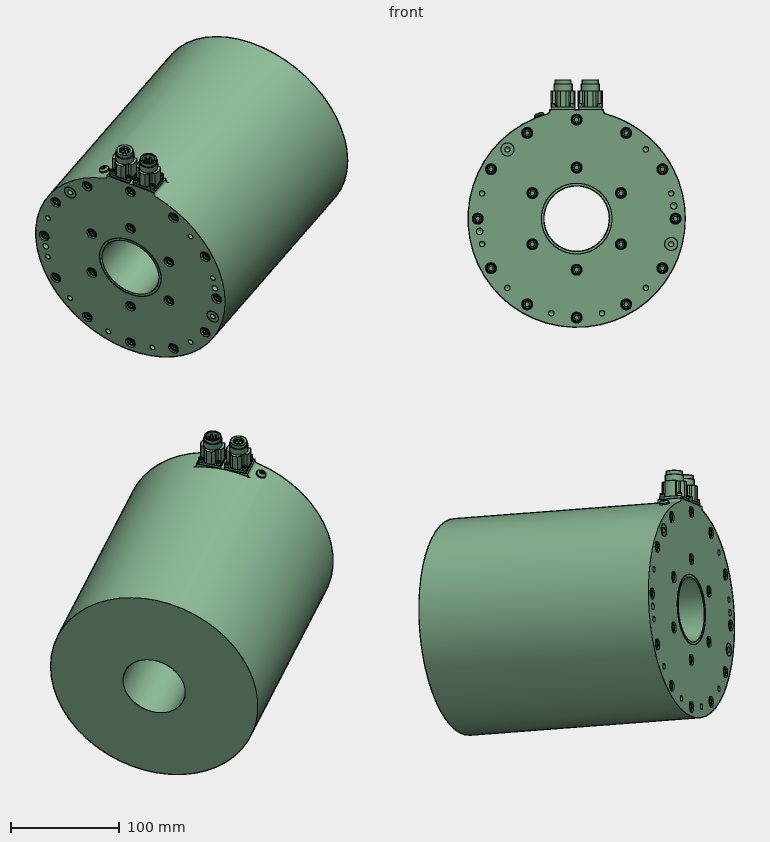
import cadquery as cq
import math

BODY_RADIUS = 100.0
BODY_LENGTH = 230.0
BORE_DIAMETER = 60.0
BORE_RIM_DIAMETER = 65.0
RIM_DEPTH = 0.3

SCREW_CIRCLE_OUTER = 91.0
SCREW_COUNT_OUTER = 12
SCREW_CIRCLE_INNER = 47.0
SCREW_COUNT_INNER = 6
COUNTERBORE_DIAMETER = 10.0
COUNTERBORE_DEPTH = 5.7
HEAD_DIAMETER = 8.5
HEAD_HEIGHT = 5.0
HEAD_EDGE_CHAMFER = 0.8
HEAD_SOCKET_FLATS = 4.0
HEAD_SOCKET_DEPTH = 2.5

HOLE_CIRCLE = 90.0
TAPPED_ANGLES = (15, 45, 135, 165, 195, 225, 255, 285, 315, 345)
TAPPED_DIAMETER = 5.0
TAPPED_DEPTH = 12.0
DOWEL_ANGLES = (7.5, 187.5)
DOWEL_DIAMETER = 6.0
DOWEL_DEPTH = 12.0
DRILL_POINT_ANGLE = 118.0
SPOT_FACE_ANGLES = (135, 345)
SPOT_FACE_DIAMETER = 12.0
SPOT_FACE_DEPTH = 0.3

PAD_WIDTH = 49.5
PAD_LENGTH = 23.0
PAD_TOP = 100.3
PAD_FILLET = 3.0
PAD_EMBED = 15.0

CONNECTOR_SPACING = 25.0
CONNECTOR_Y = 11.8
CONNECTOR_TOP = 127.5
SHELL_TOP = 117.5
COLLAR_TOP = 123.8
FLANGE_TOP = 102.7
FLANGE_WIDTH = 21.6
FLANGE_CORNER_RADIUS = 2.0
SHELL_DIAMETER = 22.4
CORE_DIAMETER = 17.5
COLLAR_DIAMETER = 17.0
MOUTH_DIAMETER = 15.0
LOBE_HALF_WIDTH = 5.35
LOBE_FLAT_HALF_WIDTH = 2.5
LOBE_SHOULDER = 8.5
FLANGE_SCREW_OFFSET = 8.6
FLANGE_SCREW_DIAMETER = 4.2
FLANGE_SCREW_HEIGHT = 3.2
FLANGE_SCREW_SOCKET = 2.0
FLANGE_SCREW_SOCKET_DEPTH = 1.2

SIGNAL_BORE = 10.0
SIGNAL_DEPTH = 2.0
SIGNAL_PIN_DIAMETER = 1.0
SIGNAL_PIN_CIRCLE = 3.2
SIGNAL_PIN_COUNT = 8
POWER_BORE = 12.0
POWER_DEPTH = 8.0
POWER_PIN_DIAMETER = 1.5
POWER_PIN_CIRCLE = 3.5
POWER_PIN_COUNT = 5
PIN_RECESS = 1.0

BUTTON_TILT = 20.0
BUTTON_Y = 12.4
BUTTON_DIAMETER = 9.2
BUTTON_HEIGHT = 3.0
BUTTON_RIM = 1.2
BUTTON_DOME_RADIUS = 3.8
BUTTON_DOME_HEIGHT = 2.3
BUTTON_CROWN_DIAMETER = 5.0
BUTTON_SOCKET_FLATS = 3.0
BUTTON_SOCKET_DEPTH = 1.6
BUTTON_SINK = 1.0


def hexagon_diameter(flats):
    """Corner-to-corner size of a hexagon given across its flats."""
    return flats / math.cos(math.radians(30))


def polar_points(radius, angles):
    """Points on a circle, angles in degrees from the first axis."""
    return [
        (radius * math.cos(math.radians(a)), radius * math.sin(math.radians(a)))
        for a in angles
    ]


def even_angles(count):
    """Equally spaced angles starting on the second axis."""
    return [90 + i * 360 / count for i in range(count)]


def front_plane(depth=0.0):
    """Workplane parallel to the front face, the given depth into the body."""
    return cq.Workplane("XZ", origin=(0, depth, 0))


def front_disc(points, diameter, depth, start=0.0):
    """Discs reaching from a start depth into the body at the given X, Z points."""
    return front_plane(start).pushPoints(points).circle(diameter / 2).extrude(-depth)


def drilled_holes(points, diameter, depth):
    """Blind hole cutters with a conical drill point."""
    radius = diameter / 2
    point_depth = radius / math.tan(math.radians(DRILL_POINT_ANGLE / 2))
    profile = [(0, 0), (radius, 0), (radius, depth), (0, depth + point_depth)]
    drill = cq.Workplane("XY").polyline(profile).close().revolve(360, (0, 0), (0, 1))
    cutters = cq.Workplane("XY")
    for x, z in points:
        cutters = cutters.add(drill.translate((x, 0, z)))
    return cutters.combine()


def make_pad():
    """Raised connector pad whose sides flare into the cylinder."""
    half = PAD_WIDTH / 2
    centre_x = half + PAD_FILLET
    centre_distance = BODY_RADIUS + PAD_FILLET
    centre_z = math.sqrt(centre_distance**2 - centre_x**2)
    foot_x = centre_x * BODY_RADIUS / centre_distance
    foot_z = centre_z * BODY_RADIUS / centre_distance
    foot_angle = math.pi + math.atan2(centre_z, centre_x)
    mid_angle = (math.pi + foot_angle) / 2
    mid_x = centre_x + PAD_FILLET * math.cos(mid_angle)
    mid_z = centre_z + PAD_FILLET * math.sin(mid_angle)
    inside_z = foot_z - PAD_EMBED
    return (
        front_plane()
        .moveTo(-half, PAD_TOP)
        .lineTo(half, PAD_TOP)
        .lineTo(half, centre_z)
        .threePointArc((mid_x, mid_z), (foot_x, foot_z))
        .lineTo(foot_x, inside_z)
        .lineTo(-foot_x, inside_z)
        .lineTo(-foot_x, foot_z)
        .threePointArc((-mid_x, mid_z), (-half, centre_z))
        .close()
        .extrude(-PAD_LENGTH)
    )


def make_housing():
    """Bored cylinder with its connector pad and front face recesses."""
    housing = front_plane().circle(BODY_RADIUS).extrude(-BODY_LENGTH).union(make_pad())
    centre = [(0, 0)]
    housing = housing.cut(front_disc(centre, BORE_DIAMETER, BODY_LENGTH))
    housing = housing.cut(front_disc(centre, BORE_RIM_DIAMETER, RIM_DEPTH))

    spot_points = polar_points(HOLE_CIRCLE, SPOT_FACE_ANGLES)
    tapped_points = polar_points(HOLE_CIRCLE, TAPPED_ANGLES)
    dowel_points = polar_points(HOLE_CIRCLE, DOWEL_ANGLES)
    housing = housing.cut(front_disc(spot_points, SPOT_FACE_DIAMETER, SPOT_FACE_DEPTH))
    housing = housing.cut(drilled_holes(tapped_points, TAPPED_DIAMETER, TAPPED_DEPTH))
    return housing.cut(drilled_holes(dowel_points, DOWEL_DIAMETER, DOWEL_DEPTH))


def add_socket_screws(housing):
    """Counterbores, each with a hexagon socket head resting on its floor."""
    points = polar_points(SCREW_CIRCLE_OUTER, even_angles(SCREW_COUNT_OUTER))
    points += polar_points(SCREW_CIRCLE_INNER, even_angles(SCREW_COUNT_INNER))
    head_top = COUNTERBORE_DEPTH - HEAD_HEIGHT
    heads = front_disc(points, HEAD_DIAMETER, HEAD_HEIGHT, head_top)
    heads = heads.faces("<Y").chamfer(HEAD_EDGE_CHAMFER)
    sockets = (
        front_plane(head_top)
        .pushPoints(points)
        .polygon(6, hexagon_diameter(HEAD_SOCKET_FLATS))
        .extrude(-HEAD_SOCKET_DEPTH)
    )
    counterbores = front_disc(points, COUNTERBORE_DIAMETER, COUNTERBORE_DEPTH)
    return housing.cut(counterbores).union(heads.cut(sockets))


def upright_disc(diameter, bottom, top):
    """Vertical cylinder on the connector axis."""
    return cq.Workplane("XY", origin=(0, 0, bottom)).circle(diameter / 2).extrude(top - bottom)


def upright_box(width, depth, bottom, top):
    """Vertical block centred on the connector axis."""
    return cq.Workplane("XY", origin=(0, 0, bottom)).rect(width, depth).extrude(top - bottom)


def make_shell():
    """Round core with two curved lobes along X and two bevelled lobes along Y."""
    radius = SHELL_DIAMETER / 2
    curved_lobes = upright_box(SHELL_DIAMETER, 2 * LOBE_HALF_WIDTH, FLANGE_TOP, SHELL_TOP)
    curved_lobes = curved_lobes.intersect(upright_disc(SHELL_DIAMETER, FLANGE_TOP, SHELL_TOP))
    bevelled_lobes = (
        cq.Workplane("XY", origin=(0, 0, FLANGE_TOP))
        .moveTo(LOBE_HALF_WIDTH, -LOBE_SHOULDER)
        .lineTo(LOBE_HALF_WIDTH, LOBE_SHOULDER)
        .lineTo(LOBE_FLAT_HALF_WIDTH, radius)
        .lineTo(-LOBE_FLAT_HALF_WIDTH, radius)
        .lineTo(-LOBE_HALF_WIDTH, LOBE_SHOULDER)
        .lineTo(-LOBE_HALF_WIDTH, -LOBE_SHOULDER)
        .lineTo(-LOBE_FLAT_HALF_WIDTH, -radius)
        .lineTo(LOBE_FLAT_HALF_WIDTH, -radius)
        .close()
        .extrude(SHELL_TOP - FLANGE_TOP)
    )
    core = upright_disc(CORE_DIAMETER, FLANGE_TOP, SHELL_TOP)
    return core.union(curved_lobes).union(bevelled_lobes)


def make_flange():
    """Square connector base with rounded corners and four corner screws."""
    flange = upright_box(FLANGE_WIDTH, FLANGE_WIDTH, PAD_TOP, FLANGE_TOP)
    flange = flange.edges("|Z").fillet(FLANGE_CORNER_RADIUS)
    pitch = 2 * FLANGE_SCREW_OFFSET
    screw_top = FLANGE_TOP + FLANGE_SCREW_HEIGHT
    screws = (
        cq.Workplane("XY", origin=(0, 0, FLANGE_TOP))
        .rarray(pitch, pitch, 2, 2)
        .circle(FLANGE_SCREW_DIAMETER / 2)
        .extrude(FLANGE_SCREW_HEIGHT)
    )
    sockets = (
        cq.Workplane("XY", origin=(0, 0, screw_top))
        .rarray(pitch, pitch, 2, 2)
        .polygon(6, hexagon_diameter(FLANGE_SCREW_SOCKET))
        .extrude(-FLANGE_SCREW_SOCKET_DEPTH)
    )
    return flange.union(screws.cut(sockets))


def make_connector(bore, depth, pin_diameter, pin_circle, pin_count):
    """Complete connector around the Z axis with a bore and a ring of pins."""
    connector = make_flange().union(make_shell())
    connector = connector.union(upright_disc(COLLAR_DIAMETER, SHELL_TOP, COLLAR_TOP))
    connector = connector.union(upright_disc(MOUTH_DIAMETER, COLLAR_TOP, CONNECTOR_TOP))
    floor = CONNECTOR_TOP - depth
    connector = connector.cut(upright_disc(bore, floor, CONNECTOR_TOP))
    pin_points = polar_points(pin_circle, even_angles(pin_count)) + [(0, 0)]
    pins = (
        cq.Workplane("XY", origin=(0, 0, floor))
        .pushPoints(pin_points)
        .circle(pin_diameter / 2)
        .extrude(depth - PIN_RECESS)
    )
    return connector.union(pins)


def make_button_screw():
    """Domed ground screw, tilted from the top of the housing toward -X."""
    rim_radius = BUTTON_DIAMETER / 2
    crown_radius = BUTTON_CROWN_DIAMETER / 2
    dome_mid = (BUTTON_DOME_RADIUS, BUTTON_DOME_HEIGHT)
    head = (
        cq.Workplane("XZ")
        .moveTo(0, -BUTTON_SINK)
        .lineTo(rim_radius, -BUTTON_SINK)
        .lineTo(rim_radius, BUTTON_RIM)
        .threePointArc(dome_mid, (crown_radius, BUTTON_HEIGHT))
        .lineTo(0, BUTTON_HEIGHT)
        .close()
        .revolve(360, (0, 0), (0, 1))
    )
    socket = (
        cq.Workplane("XY", origin=(0, 0, BUTTON_HEIGHT))
        .polygon(6, hexagon_diameter(BUTTON_SOCKET_FLATS))
        .extrude(-BUTTON_SOCKET_DEPTH)
    )
    head = head.cut(socket).translate((0, BUTTON_Y, BODY_RADIUS))
    return head.rotate((0, 0, 0), (0, 1, 0), -BUTTON_TILT)


signal_connector = make_connector(
    SIGNAL_BORE, SIGNAL_DEPTH, SIGNAL_PIN_DIAMETER, SIGNAL_PIN_CIRCLE, SIGNAL_PIN_COUNT
)
power_connector = make_connector(
    POWER_BORE, POWER_DEPTH, POWER_PIN_DIAMETER, POWER_PIN_CIRCLE, POWER_PIN_COUNT
)

result = add_socket_screws(make_housing())
result = result.union(signal_connector.translate((-CONNECTOR_SPACING / 2, CONNECTOR_Y, 0)))
result = result.union(power_connector.translate((CONNECTOR_SPACING / 2, CONNECTOR_Y, 0)))
result = result.union(make_button_screw())